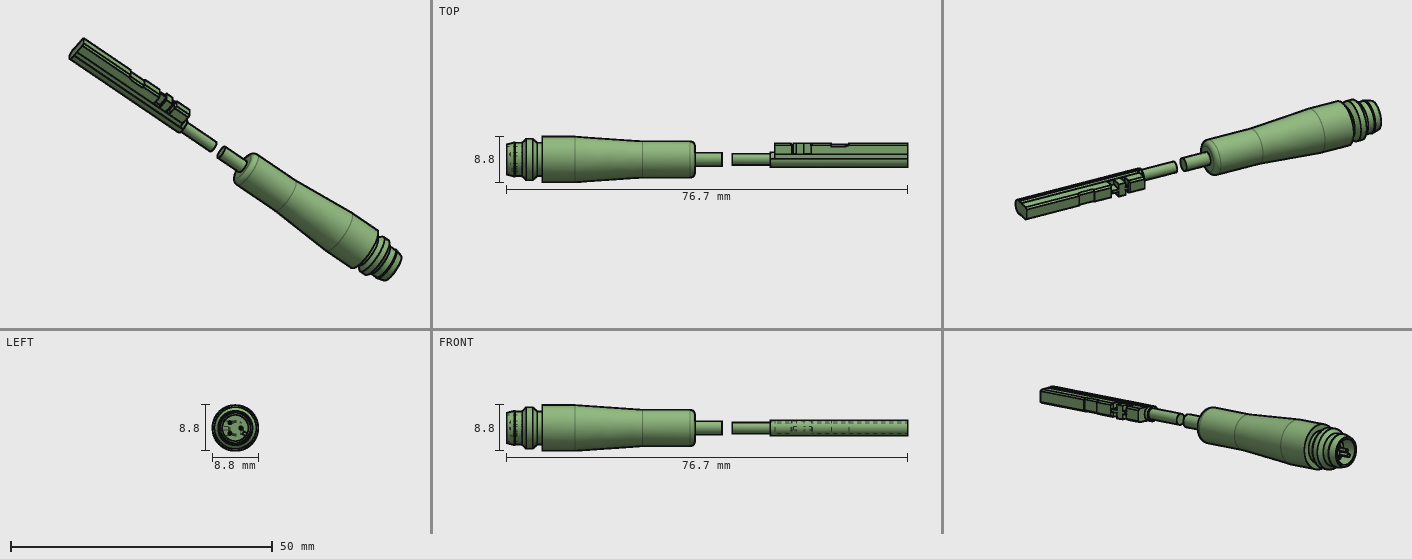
import cadquery as cq
import math


nose_tip_diameter = 5.8
nose_lip_diameter = 6.6
neck_diameter = 6.4
ring_diameter = 8.0
grip_diameter = 8.8
sleeve_diameter = 7.0
plug_cable_diameter = 2.6

nose_lip_start_x = 1.45
nose_lip_end_x = 1.65
ring_start_x = 2.95
ring_crest_start_x = 3.75
ring_crest_end_x = 4.95
ring_end_x = 5.85
grip_start_x = 6.75
grip_taper_start_x = 13.0
sleeve_start_x = 25.9
sleeve_end_x = 36.0
sleeve_rounding = 1.0
plug_cable_end_x = 41.2

socket_diameter = 5.0
socket_depth = 3.0
contact_diameter = 0.6
contact_offset = 1.04
contact_tip_x = 0.5
contact_tip_chamfer = 0.2
contact_places = [
    (contact_offset, contact_offset),
    (contact_offset, -contact_offset),
    (-contact_offset, 0),
]
key_width = 0.6
key_inner_radius = 1.75
key_angle = 211
key_start_x = 1.0

sensor_cable_diameter = 2.2
sensor_cable_start_x = 43.1
sensor_start_x = 50.4
sensor_end_x = 76.7
belly_radius = 1.5
belly_lip_y = 0.1
core_radius = 1.4
shoulder_half_width = 1.4
shoulder_top_y = 0.97
head_start_x = 51.2
head_half_width = 1.35
head_top_y = 3.15
head_chamfer_length = 0.45
head_chamfer_width = 0.3

recess_start_x = 54.5
recess_end_x = 58.2
recess_floor_y = 1.1
recess_flare = 0.2
recess_flare_depth = 0.5
clamp_start_x = 55.3
clamp_end_x = 56.8
clamp_web_start_x = 54.75
clamp_web_half_width = 0.3

notch_start_x = 62.0
notch_ramp_x = 64.6
notch_end_x = 65.4
notch_depth = 0.25


def rod(diameter, start_x, end_x, y=0, z=0):
    """Round bar parallel to X."""
    return (
        cq.Workplane("YZ", origin=(start_x, y, z))
        .circle(diameter / 2)
        .extrude(end_x - start_x)
    )


def block(start_x, end_x, bottom_y, top_y, half_width):
    """Box that is symmetric about the XY plane."""
    return cq.Workplane("XY").box(
        end_x - start_x, top_y - bottom_y, 2 * half_width, centered=(False, False, True)
    ).translate((start_x, bottom_y, 0))


def plug_shell():
    """Nose, snap ring, tapered grip, sleeve and cable stub turned about X."""
    sleeve_radius = sleeve_diameter / 2
    arc_middle = sleeve_rounding * (1 - math.sqrt(0.5))
    return (
        cq.Workplane("XZ")
        .moveTo(0, 0)
        .lineTo(0, nose_tip_diameter / 2)
        .lineTo(nose_lip_start_x, nose_lip_diameter / 2)
        .lineTo(nose_lip_end_x, neck_diameter / 2)
        .lineTo(ring_start_x, neck_diameter / 2)
        .lineTo(ring_crest_start_x, ring_diameter / 2)
        .lineTo(ring_crest_end_x, ring_diameter / 2)
        .lineTo(ring_end_x, neck_diameter / 2)
        .lineTo(grip_start_x, neck_diameter / 2)
        .lineTo(grip_start_x, grip_diameter / 2)
        .lineTo(grip_taper_start_x, grip_diameter / 2)
        .lineTo(sleeve_start_x, sleeve_radius)
        .lineTo(sleeve_end_x - sleeve_rounding, sleeve_radius)
        .threePointArc(
            (sleeve_end_x - arc_middle, sleeve_radius - arc_middle),
            (sleeve_end_x, sleeve_radius - sleeve_rounding),
        )
        .lineTo(sleeve_end_x, plug_cable_diameter / 2)
        .lineTo(plug_cable_end_x, plug_cable_diameter / 2)
        .lineTo(plug_cable_end_x, 0)
        .close()
        .revolve(360, (0, 0, 0), (1, 0, 0))
    )


def socket_key():
    """Polarizing rib on the socket wall, reaching into the plug material."""
    key_outer_radius = (socket_diameter + nose_tip_diameter) / 4
    return (
        block(key_start_x, socket_depth, key_inner_radius, key_outer_radius, key_width / 2)
        .rotate((0, 0, 0), (1, 0, 0), key_angle)
    )


def contact_pin(y, z):
    """Contact standing on the socket floor, chamfered at its tip."""
    return (
        rod(contact_diameter, contact_tip_x, socket_depth, y, z)
        .faces("<X")
        .chamfer(contact_tip_chamfer)
    )


def make_plug():
    plug = plug_shell().cut(rod(socket_diameter, 0, socket_depth))
    for y, z in contact_places:
        plug = plug.union(contact_pin(y, z))
    return plug.union(socket_key())


def head_outline(x, top_y, chamfer_length):
    """Closed head section at x, from the cable axis to a top with two chamfered edges."""
    top_half_width = head_half_width - head_chamfer_width
    corners = [
        (0, -head_half_width),
        (top_y - chamfer_length, -head_half_width),
        (top_y, -top_half_width),
        (top_y, top_half_width),
        (top_y - chamfer_length, head_half_width),
        (0, head_half_width),
    ]
    return cq.Wire.makePolygon([cq.Vector(x, y, z) for y, z in corners], close=True)


def head_segment(start, end):
    """Straight-sided piece of the head between two sections."""
    return cq.Workplane(cq.Solid.makeLoft([start, end], True))


def sensor_head():
    """Head rail with the marking notch, whose chamfers run out in a ramp."""
    full = (head_top_y, head_chamfer_length)
    lowered = (head_top_y - notch_depth, head_chamfer_length)
    run_out = (head_top_y - notch_depth, head_chamfer_length - notch_depth)
    segments = [
        (head_start_x, full, notch_start_x, full),
        (notch_start_x, lowered, notch_ramp_x, lowered),
        (notch_ramp_x, lowered, notch_end_x, run_out),
        (notch_end_x, full, sensor_end_x, full),
    ]
    head = cq.Workplane("XY")
    for start_x, start_shape, end_x, end_shape in segments:
        head = head.add(
            head_segment(head_outline(start_x, *start_shape), head_outline(end_x, *end_shape))
        )
    return head.combine()


def clamp_recess():
    """Cutter for the recess, flared where it leaves the top of the head."""
    flare_y = head_top_y - recess_flare_depth
    return (
        cq.Workplane("XY")
        .polyline([
            (recess_start_x, recess_floor_y),
            (recess_start_x, flare_y),
            (recess_start_x - recess_flare, head_top_y),
            (recess_end_x + recess_flare, head_top_y),
            (recess_end_x, flare_y),
            (recess_end_x, recess_floor_y),
        ])
        .close()
        .extrude(head_half_width, both=True)
    )


def sensor_belly():
    """Half-round lower side of the sensor, ending in a narrow straight lip."""
    upper_half = block(sensor_start_x, sensor_end_x, 0, belly_radius, belly_radius)
    lip = block(sensor_start_x, sensor_end_x, 0, belly_lip_y, belly_radius)
    return rod(2 * belly_radius, sensor_start_x, sensor_end_x).cut(upper_half).union(lip)


def make_sensor():
    clamp_block = block(clamp_start_x, clamp_end_x, 0, head_top_y, head_half_width)
    clamp_web = block(clamp_web_start_x, recess_end_x, 0, head_top_y, clamp_web_half_width)
    shoulder = block(head_start_x, sensor_end_x, 0, shoulder_top_y, shoulder_half_width)
    return (
        sensor_head()
        .cut(clamp_recess())
        .union(clamp_block)
        .union(clamp_web)
        .union(shoulder)
        .union(rod(2 * core_radius, sensor_start_x, head_start_x))
        .union(sensor_belly())
        .union(rod(sensor_cable_diameter, sensor_cable_start_x, sensor_start_x))
    )


plug = make_plug()
sensor = make_sensor()

result = cq.Compound.makeCompound([plug.val(), sensor.val()])